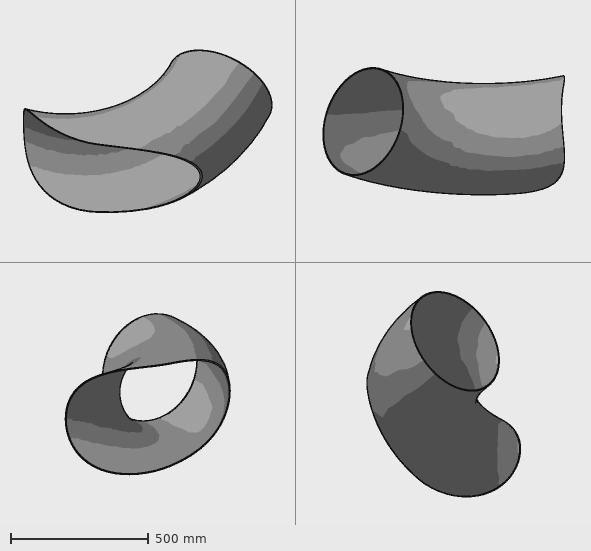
import cadquery as cq

pipe_diameter = 407.0
wall = 4.0
bend_radius = 1.5 * pipe_diameter
bend_angle = 90.0
blend_end_x = 355.0

pipe_radius = pipe_diameter / 2
bore_radius = pipe_radius - wall
throat_radius = bend_radius - pipe_radius
back_radius = bend_radius + pipe_radius


def bend(section_radius):
    """Solid quarter bend from the +X axis round to the -Y axis."""
    section = cq.Workplane("XZ").center(bend_radius, 0).circle(section_radius)
    return section.revolve(bend_angle, (-bend_radius, 0, 0), (-bend_radius, -1, 0))


def saddle_y(x):
    """Plan curve where the bend meets an equal pipe lying along X at y = -bend_radius.

    Equal sections meet where both centrelines are equally far away, which is a parabola.
    """
    return x**2 / (4 * bend_radius) - bend_radius


def saddle_cutter():
    """Prism along Z that removes everything beyond the saddle edge."""
    toe = (0, -throat_radius)
    blend_end = (blend_end_x, saddle_y(blend_end_x))
    heel = (back_radius, saddle_y(back_radius))
    parabola_control = (
        (blend_end_x + back_radius) / 2,
        blend_end_x * back_radius / (4 * bend_radius) - bend_radius,
    )
    return (
        cq.Workplane("XY")
        .moveTo(*heel)
        .bezier([heel, parabola_control, blend_end])
        .tangentArcPoint(toe, relative=False)
        .lineTo(0, -back_radius)
        .lineTo(back_radius, -back_radius)
        .close()
        .extrude(pipe_diameter, both=True)
    )


elbow = bend(pipe_radius).cut(bend(bore_radius))
result = elbow.cut(saddle_cutter())